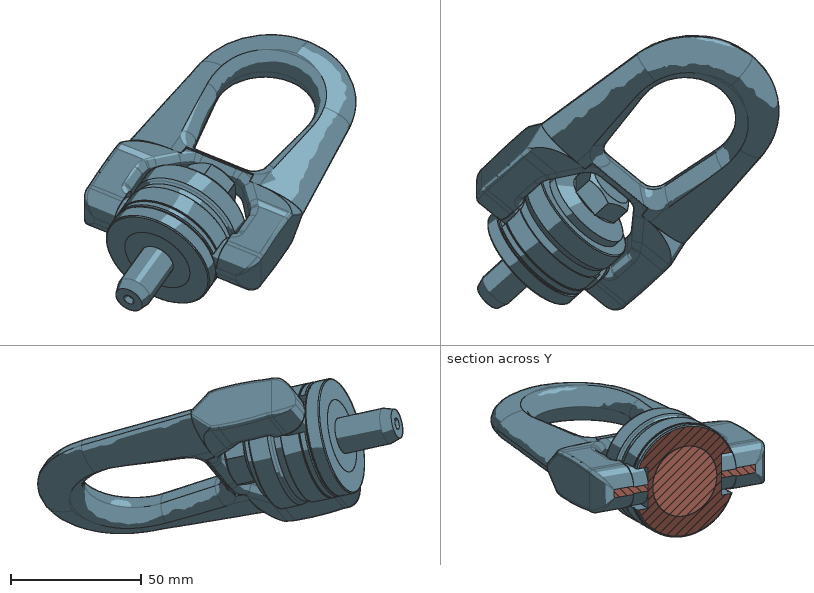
import cadquery as cq
import math


PIN_RADIUS = 7.0
PIN_END_Y = -23.0
PIN_TIP_RADIUS = 5.7
PIN_TIP_LENGTH = 4.3
CENTRE_HOLE_RADIUS = 1.0
CENTRE_HOLE_DEPTH = 4.4
COUNTERSINK_RADIUS = 2.2
COUNTERSINK_DEPTH = 2.0
SHOULDER_RADIUS = 14.21
FLANGE_RADIUS = 18.0
FLANGE_THICKNESS = 3.1
CONE_TOP_RADIUS = 11.26
CONE_HEIGHT = 3.2
HEX_ACROSS_FLATS = 20.0
HEX_CROWN_RADIUS = 8.8
HEX_CROWN_ANGLE = math.radians(30)
HEAD_TOP_Y = 45.5

BODY_RADIUS = 22.5
EDGE_CHAMFER = 0.5
DISC_THICKNESS = 5.5
NECK_RADIUS = 21.6
HOUSING_BOTTOM_Y = 6.2
HOUSING_TOP_Y = 30.2
LINE_GROOVE_Y = 8.8
LINE_GROOVE_WIDTH = 0.5
LINE_GROOVE_DEPTH = 0.3
WAIST_BOTTOM_Y = 16.8
WAIST_TOP_Y = 19.9
WAIST_RADIUS = 21.5
WAIST_LOWER_RADIUS = 22.0
WAIST_TOP_TAPER = 1.0
RING_EDGE_CHAMFER = 1.2

TRUNNION_DIAMETER = 14.1
TRUNNION_THICKNESS = 16.5
TRUNNION_INNER_X = 16.2
TRUNNION_Y = HOUSING_BOTTOM_Y + TRUNNION_DIAMETER / 2

ARM_OUTER_X = 38.0
ARM_INNER_X = BODY_RADIUS
ARM_END_ROUND = TRUNNION_DIAMETER / 2
ARM_END_FLAT = 3.1
ARM_BOTTOM_Y = HOUSING_BOTTOM_Y
ARM_BULGE_BOTTOM_Y = 15.0
ARM_BULGE_TOP_Y = 37.3
ARM_BULGE_HALF = 9.4
ARM_RAMP_HALF = 9.1
RAMP_BLEND = 22.1
ARM_SIDE_FILLET = 1.5
SHOULDER_Y = 46.8
SIDE_POINT_HALF = 8.7

LOOP_HALF = 7.0
LOOP_TOP_Y = 124.3
LOOP_RADIUS = 33.0
LOOP_CENTRE_Y = LOOP_TOP_Y - LOOP_RADIUS
LEG_ANGLE = (
    math.atan2(SHOULDER_Y - LOOP_CENTRE_Y, ARM_OUTER_X)
    + math.acos(LOOP_RADIUS / math.hypot(ARM_OUTER_X, SHOULDER_Y - LOOP_CENTRE_Y))
)
LEG_START_Y = 41.2
CROWN_ROUND = 11.8
BEND_ROUND = 14.0
LEG_ROUND = 19.5
SECTION_WIDTH = 22.8
BAR_HALF_LENGTH = 18.5
WEB_TOP_Y = 60.4

BAR_TOP_Y = 50.7
EYE_RADIUS = 19.3
EYE_CENTRE_Y = 86.9
EYE_BOTTOM_Y = 53.3
EYE_CORNER_RADIUS = 7.4
EYE_SIDE_ANGLE = math.radians(9)
EYE_FLARE = 5.3
EYE_BOTTOM_FLARE = 2.7
EYE_FLARE_STEPS = 3
OPENING_TOP_Y = 47.0
OPENING_BOTTOM_Y = 20.8
OPENING_BOTTOM_ROUND = 0.7
OPENING_TOP_HALF = 11.2
OPENING_SIDE_X = 23.0
OPENING_SIDE_TOP_Y = 32.4
OPENING_TOP_ROUND = 8.4
OPENING_SIDE_ROUND = 5.9
OPENING_RIM_FILLET = 3.4

TOUCHING = 0.001
REACH = 1.5
CUT = 88.4


def turned(profile):
    """Revolve a (radius, Y) outline about the swivel axis."""
    return cq.Workplane("XY").polyline(profile).close().revolve(360, (0, 0, 0), (0, 1, 0))


def block(x_range, y_range, half_thickness):
    """Box between two X and two Y values, centred on the middle plane."""
    return (
        cq.Workplane("XY", origin=(x_range[0], y_range[0], 0))
        .box(x_range[1] - x_range[0], y_range[1] - y_range[0], 2 * half_thickness,
             centered=(False, False, True))
    )


def edges_at_height(bottom_y, top_y):
    """Selector for edges whose centres lie between two Y values."""
    return cq.selectors.BoxSelector((-CUT, bottom_y, -CUT), (CUT, top_y, CUT))


def both_sides(right_half):
    return right_half.union(right_half.mirror("YZ"))


def both_faces(upper_half):
    return upper_half.union(upper_half.mirror("XY"))


def make_bolt():
    """Hexagon head with a conical flange, a shoulder and a pin, in one piece."""
    flange_top_y = HOUSING_TOP_Y + FLANGE_THICKNESS
    cone_top_y = flange_top_y + CONE_HEIGHT
    body = turned([
        (0, PIN_END_Y),
        (PIN_TIP_RADIUS, PIN_END_Y),
        (PIN_RADIUS, PIN_END_Y + PIN_TIP_LENGTH),
        (PIN_RADIUS, 0),
        (SHOULDER_RADIUS, 0),
        (SHOULDER_RADIUS, HOUSING_TOP_Y),
        (FLANGE_RADIUS, HOUSING_TOP_Y),
        (FLANGE_RADIUS, flange_top_y),
        (CONE_TOP_RADIUS, cone_top_y),
        (0, cone_top_y),
    ])

    hex_corner = HEX_ACROSS_FLATS / 2 / math.cos(math.pi / 6)
    crown_radius = hex_corner + REACH
    crown_drop = (crown_radius - HEX_CROWN_RADIUS) * math.tan(HEX_CROWN_ANGLE)
    crown = turned([
        (0, HOUSING_TOP_Y),
        (crown_radius, HOUSING_TOP_Y),
        (crown_radius, HEAD_TOP_Y - crown_drop),
        (HEX_CROWN_RADIUS, HEAD_TOP_Y),
        (0, HEAD_TOP_Y),
    ])
    corners = [
        (hex_corner * math.sin(k * math.pi / 3), hex_corner * math.cos(k * math.pi / 3))
        for k in range(6)
    ]
    hexagon = (
        cq.Workplane("XZ", origin=(0, flange_top_y, 0))
        .polyline(corners)
        .close()
        .extrude(flange_top_y - HEAD_TOP_Y)
        .intersect(crown)
    )

    centre_hole = turned([
        (0, PIN_END_Y),
        (COUNTERSINK_RADIUS, PIN_END_Y),
        (CENTRE_HOLE_RADIUS, PIN_END_Y + COUNTERSINK_DEPTH),
        (CENTRE_HOLE_RADIUS, PIN_END_Y + CENTRE_HOLE_DEPTH),
        (0, PIN_END_Y + CENTRE_HOLE_DEPTH),
    ])
    return body.union(hexagon).cut(centre_hole)


def make_base_disc():
    """Disc around the bolt shoulder that closes the trunnion sockets from below."""
    return turned([
        (SHOULDER_RADIUS, 0),
        (BODY_RADIUS - EDGE_CHAMFER, 0),
        (BODY_RADIUS, EDGE_CHAMFER),
        (BODY_RADIUS, DISC_THICKNESS),
        (NECK_RADIUS, DISC_THICKNESS),
        (NECK_RADIUS, HOUSING_BOTTOM_Y),
        (SHOULDER_RADIUS, HOUSING_BOTTOM_Y),
    ])


def stadium(inner_x, outer_x):
    """Trunnion shape along X: round at both Z ends, flat above and below."""
    return (
        cq.Workplane("YZ", origin=(inner_x, TRUNNION_Y, 0))
        .slot2D(TRUNNION_THICKNESS, TRUNNION_DIAMETER, 90)
        .extrude(outer_x - inner_x)
    )


def make_housing():
    """Turned housing with a waist and two trunnion sockets that open downward."""
    groove_floor = BODY_RADIUS - LINE_GROOVE_DEPTH
    housing = turned([
        (SHOULDER_RADIUS, HOUSING_BOTTOM_Y),
        (BODY_RADIUS - EDGE_CHAMFER, HOUSING_BOTTOM_Y),
        (BODY_RADIUS, HOUSING_BOTTOM_Y + EDGE_CHAMFER),
        (BODY_RADIUS, LINE_GROOVE_Y),
        (groove_floor, LINE_GROOVE_Y),
        (groove_floor, LINE_GROOVE_Y + LINE_GROOVE_WIDTH),
        (BODY_RADIUS, LINE_GROOVE_Y + LINE_GROOVE_WIDTH),
        (BODY_RADIUS, WAIST_BOTTOM_Y),
        (WAIST_LOWER_RADIUS, WAIST_BOTTOM_Y),
        (WAIST_RADIUS, WAIST_TOP_Y),
        (BODY_RADIUS - EDGE_CHAMFER, WAIST_TOP_Y + WAIST_TOP_TAPER),
        (BODY_RADIUS, WAIST_TOP_Y + WAIST_TOP_TAPER + RING_EDGE_CHAMFER),
        (BODY_RADIUS, HOUSING_TOP_Y - EDGE_CHAMFER),
        (BODY_RADIUS - EDGE_CHAMFER, HOUSING_TOP_Y),
        (SHOULDER_RADIUS, HOUSING_TOP_Y),
    ])
    mouth = block((TRUNNION_INNER_X, CUT), (0, TRUNNION_Y), TRUNNION_THICKNESS / 2)
    socket = stadium(TRUNNION_INNER_X, CUT).union(mouth)
    return housing.cut(both_sides(socket))


def section_wire(plane, round_length):
    """Loop section: a half-elliptic outer edge, then flat faces running inward."""
    centre = plane.toWorldCoords((round_length, 0, 0))
    upper = cq.Edge.makeEllipse(round_length, LOOP_HALF, centre, plane.zDir, plane.xDir, 90, 180)
    lower = cq.Edge.makeEllipse(round_length, LOOP_HALF, centre, plane.zDir, plane.xDir, 180, 270)
    corners = [
        (round_length, -LOOP_HALF),
        (SECTION_WIDTH, -LOOP_HALF),
        (SECTION_WIDTH, LOOP_HALF),
        (round_length, LOOP_HALF),
    ]
    points = [plane.toWorldCoords((x, y, 0)) for x, y in corners]
    flats = [cq.Edge.makeLine(points[i], points[i + 1]) for i in range(3)]
    return cq.Wire.assembleEdges([upper, lower, *flats])


def make_loop():
    """Right half swept along the outer edge of leg and crown, then mirrored."""
    bend = (LOOP_RADIUS * math.cos(LEG_ANGLE), LOOP_CENTRE_Y + LOOP_RADIUS * math.sin(LEG_ANGLE))
    leg_start = (bend[0] + (bend[1] - LEG_START_Y) * math.tan(LEG_ANGLE), LEG_START_Y)
    mid_angle = (LEG_ANGLE + math.pi / 2) / 2
    arc_middle = (
        LOOP_RADIUS * math.cos(mid_angle),
        LOOP_CENTRE_Y + LOOP_RADIUS * math.sin(mid_angle),
    )
    path = (
        cq.Workplane("XY")
        .moveTo(*leg_start)
        .lineTo(*bend)
        .threePointArc(arc_middle, (0, LOOP_TOP_Y))
    )
    leg_inward = (-math.cos(LEG_ANGLE), -math.sin(LEG_ANGLE), 0)
    leg_along = (-math.sin(LEG_ANGLE), math.cos(LEG_ANGLE), 0)
    stations = [
        (leg_start, leg_inward, leg_along, LEG_ROUND),
        (bend, leg_inward, leg_along, BEND_ROUND),
        ((0, LOOP_TOP_Y), (0, -1, 0), (-1, 0, 0), CROWN_ROUND),
    ]
    sections = [
        section_wire(cq.Plane((*point, 0), inward, along), round_length)
        for point, inward, along, round_length in stations
    ]
    half = cq.Workplane("XY").newObject([cq.Solid.sweep_multi(sections, path.wire().val())])
    below_shoulder = block((-CUT, CUT), (-CUT, SHOULDER_Y), CUT)
    web = block((-BAR_HALF_LENGTH, BAR_HALF_LENGTH), (BAR_TOP_Y, WEB_TOP_Y), LOOP_HALF)
    return both_sides(half.cut(below_shoulder)).union(web)


def make_yoke_blank():
    """Both arms and the bar as one block, shaped by a side profile and an outline."""
    ramp_slope = (ARM_RAMP_HALF - LOOP_HALF) / (SHOULDER_Y - ARM_BULGE_TOP_Y)
    bar_half = LOOP_HALF - ramp_slope * (BAR_TOP_Y - SHOULDER_Y)
    bulge_middle_y = (ARM_BULGE_BOTTOM_Y + ARM_BULGE_TOP_Y) / 2
    end_half = ARM_END_FLAT / 2 + ARM_END_ROUND
    end_centre_y = ARM_BOTTOM_Y + ARM_END_ROUND
    diagonal = ARM_END_ROUND * math.sin(math.pi / 4)
    end_arc_y = end_centre_y - diagonal
    end_arc_z = ARM_END_FLAT / 2 + diagonal
    profile = (
        cq.Workplane("YZ", origin=(-ARM_OUTER_X, 0, 0))
        .moveTo(BAR_TOP_Y, -bar_half)
        .lineTo(BAR_TOP_Y, bar_half)
        .lineTo(ARM_BULGE_TOP_Y, ARM_RAMP_HALF)
        .threePointArc((bulge_middle_y, ARM_BULGE_HALF), (ARM_BULGE_BOTTOM_Y, end_half))
        .lineTo(end_centre_y, end_half)
        .threePointArc((end_arc_y, end_arc_z), (ARM_BOTTOM_Y, ARM_END_FLAT / 2))
        .lineTo(ARM_BOTTOM_Y, -ARM_END_FLAT / 2)
        .threePointArc((end_arc_y, -end_arc_z), (end_centre_y, -end_half))
        .lineTo(ARM_BULGE_BOTTOM_Y, -end_half)
        .threePointArc((bulge_middle_y, -ARM_BULGE_HALF), (ARM_BULGE_TOP_Y, -ARM_RAMP_HALF))
        .close()
        .extrude(2 * ARM_OUTER_X)
        .edges(edges_at_height(ARM_BULGE_TOP_Y - TOUCHING, ARM_BULGE_TOP_Y + TOUCHING))
        .fillet(RAMP_BLEND)
    )
    outline = (
        block((-ARM_OUTER_X, ARM_OUTER_X), (ARM_BOTTOM_Y, SHOULDER_Y), CUT)
        .edges("|Z and <Y")
        .fillet(ARM_END_ROUND)
    )
    arms = profile.intersect(outline)
    side_edges = [
        edge for edge in arms.edges().vals()
        if abs(edge.Center().x) > ARM_OUTER_X - TOUCHING
        and end_centre_y < edge.Center().y < SHOULDER_Y - TOUCHING
    ]
    arms = arms.newObject(side_edges).fillet(ARM_SIDE_FILLET)
    bar = block((-BAR_HALF_LENGTH, BAR_HALF_LENGTH), (TRUNNION_Y, BAR_TOP_Y), CUT)
    return arms.union(profile.intersect(bar))


def shoulder_cutter():
    """Right-hand cutters whose oval undersides run from the leg section out to the arm side."""
    corner = cq.Vector(ARM_OUTER_X, SHOULDER_Y, 0)
    arc = cq.Edge.makeEllipse(
        LEG_ROUND, LOOP_HALF, cq.Vector(ARM_OUTER_X - LEG_ROUND, SHOULDER_Y, 0),
        cq.Vector(0, -1, 0), cq.Vector(1, 0, 0), 0, 90,
    )
    crest = cq.Vector(ARM_OUTER_X - LEG_ROUND, SHOULDER_Y, LOOP_HALF)
    above = cq.Vector(ARM_OUTER_X, SHOULDER_Y, LOOP_HALF)
    flats = [cq.Edge.makeLine(crest, above), cq.Edge.makeLine(above, corner)]
    wire = cq.Wire.assembleEdges([arc, *flats])
    rise = cq.Vector(0, ARM_BULGE_TOP_Y - SHOULDER_Y, SIDE_POINT_HALF)
    upper = cq.Workplane("XY").newObject([cq.Solid.extrudeLinear(wire, [], rise)])
    return both_faces(upper)


def eye_wire(height, flare, bottom_flare):
    """Eye outline at one height: a round top, leaning sides and a flat bottom."""
    radius = EYE_RADIUS + flare
    bottom_y = EYE_BOTTOM_Y - bottom_flare
    sine = math.sin(EYE_SIDE_ANGLE)
    cosine = math.cos(EYE_SIDE_ANGLE)
    corner_y = bottom_y + EYE_CORNER_RADIUS
    corner_x = (radius - EYE_CORNER_RADIUS - sine * (EYE_CENTRE_Y - corner_y)) / cosine
    side_top = (radius * cosine, EYE_CENTRE_Y - radius * sine)
    side_bottom = (corner_x + EYE_CORNER_RADIUS * cosine, corner_y - EYE_CORNER_RADIUS * sine)
    mid_angle = (EYE_SIDE_ANGLE + math.pi / 2) / 2
    corner_middle = (
        corner_x + EYE_CORNER_RADIUS * math.cos(mid_angle),
        corner_y - EYE_CORNER_RADIUS * math.sin(mid_angle),
    )
    return (
        cq.Workplane("XY", origin=(0, 0, height))
        .moveTo(-corner_x, bottom_y)
        .lineTo(corner_x, bottom_y)
        .threePointArc(corner_middle, side_bottom)
        .lineTo(*side_top)
        .threePointArc((0, EYE_CENTRE_Y + radius), (-side_top[0], side_top[1]))
        .lineTo(-side_bottom[0], side_bottom[1])
        .threePointArc((-corner_middle[0], corner_middle[1]), (-corner_x, bottom_y))
        .close()
        .val()
    )


def eye_cutter():
    """Eye that flares in a quarter oval from the middle plane to both faces."""
    wires = []
    for step in range(EYE_FLARE_STEPS + 1):
        angle = step * math.pi / 2 / EYE_FLARE_STEPS
        share = 1 - math.cos(angle)
        wires.append(eye_wire(LOOP_HALF * math.sin(angle), EYE_FLARE * share, EYE_BOTTOM_FLARE * share))
    upper = cq.Workplane("XY").newObject([cq.Solid.makeLoft(wires)])
    return both_faces(upper)


def opening_cutter():
    """Opening between the arms, narrowing to the bar above the bolt head."""
    opening = (
        cq.Workplane("XY", origin=(0, 0, -CUT / 2))
        .polyline([
            (-OPENING_SIDE_X, OPENING_BOTTOM_Y),
            (OPENING_SIDE_X, OPENING_BOTTOM_Y),
            (OPENING_SIDE_X, OPENING_SIDE_TOP_Y),
            (OPENING_TOP_HALF, OPENING_TOP_Y),
            (-OPENING_TOP_HALF, OPENING_TOP_Y),
            (-OPENING_SIDE_X, OPENING_SIDE_TOP_Y),
        ])
        .close()
        .extrude(CUT)
    )
    return (
        opening.edges("|Z and >Y").fillet(OPENING_TOP_ROUND)
        .edges("|Z and <Y").fillet(OPENING_BOTTOM_ROUND)
        .edges("|Z")
        .edges(edges_at_height(OPENING_SIDE_TOP_Y - TOUCHING, OPENING_SIDE_TOP_Y + TOUCHING))
        .fillet(OPENING_SIDE_ROUND)
    )


def make_yoke():
    """Arms and bar with the opening, its rounded rim and the shoulders cut."""
    opening = opening_cutter()
    yoke = make_yoke_blank().cut(opening)
    rim = [
        edge for edge in yoke.edges().vals()
        if all(vertex.distance(opening.val()) < TOUCHING for vertex in edge.Vertices())
        and abs(edge.Center().z) > TOUCHING
    ]
    yoke = yoke.newObject(rim).fillet(OPENING_RIM_FILLET)
    housing_gap = block((-ARM_INNER_X, ARM_INNER_X), (0, OPENING_BOTTOM_Y + REACH), CUT)
    return yoke.cut(housing_gap).cut(both_sides(shoulder_cutter()))


def make_bow():
    """Loop and yoke in one piece, with a trunnion on the inner side of each arm."""
    trunnions = both_sides(stadium(TRUNNION_INNER_X, ARM_INNER_X + REACH))
    return make_yoke().union(make_loop()).cut(eye_cutter()).union(trunnions)


bolt = make_bolt()
base_disc = make_base_disc()
housing = make_housing()
bow = make_bow()

result = cq.Compound.makeCompound([bolt.val(), base_disc.val(), housing.val(), bow.val()])